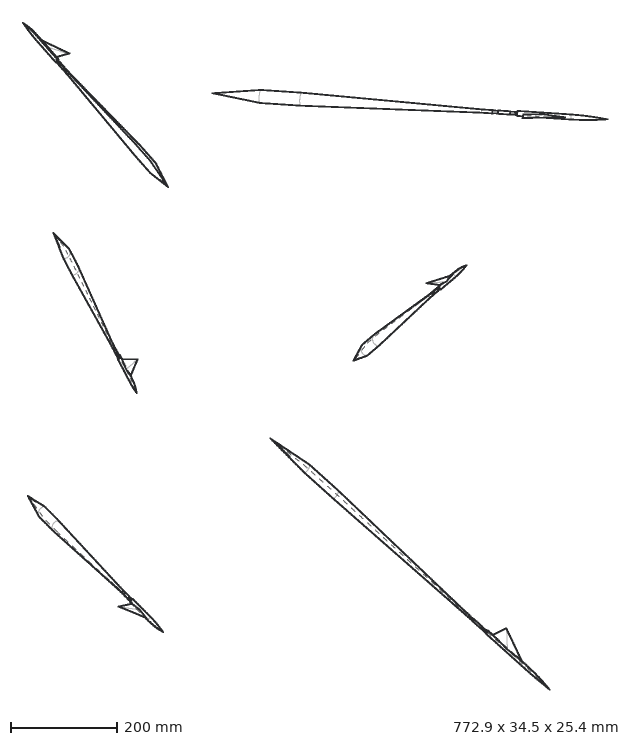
import cadquery as cq
import math


TAIL_OGIVE_END = 71.0
COLLAR_END = 176.0
GROOVES = [(179.5, 190.0), (213.5, 225.0)]
TAPER_START = 246.0
HEAD_START = 599.0
HEAD_END = 678.5
TOTAL_LENGTH = 772.86

COLLAR_RADIUS = 5.05
SHAFT_RADIUS = 3.4
GROOVE_RADIUS = 2.8
HEAD_RADIUS = 25.4 / 2

FIN_HEIGHT = 34.5
FIN_APEX_X = 157.0
FIN_LEADING_X = 68.5
FIN_CREST_X = 117.0
FIN_TRAILING_X = 164.5
FIN_HALF_THICKNESS = 2.9


def ogive_midpoint():
    """Halfway point of the tail arc, which runs from the tip into the collar tangentially."""
    arc_radius = (TAIL_OGIVE_END**2 + COLLAR_RADIUS**2) / (2 * COLLAR_RADIUS)
    half_sweep = math.asin(TAIL_OGIVE_END / arc_radius) / 2
    x = TAIL_OGIVE_END - arc_radius * math.sin(half_sweep)
    radius = COLLAR_RADIUS - arc_radius * (1 - math.cos(half_sweep))
    return x, radius


def make_body():
    """Half-turn the profile about X, towards +Y."""
    profile = (
        cq.Workplane("XZ")
        .moveTo(0, 0)
        .threePointArc(ogive_midpoint(), (TAIL_OGIVE_END, COLLAR_RADIUS))
        .lineTo(COLLAR_END, COLLAR_RADIUS)
        .lineTo(COLLAR_END, SHAFT_RADIUS)
    )
    for start, end in GROOVES:
        profile = (
            profile.lineTo(start, SHAFT_RADIUS)
            .lineTo(start, GROOVE_RADIUS)
            .lineTo(end, GROOVE_RADIUS)
            .lineTo(end, SHAFT_RADIUS)
        )
    profile = (
        profile.lineTo(TAPER_START, SHAFT_RADIUS)
        .lineTo(HEAD_START, HEAD_RADIUS)
        .lineTo(HEAD_END, HEAD_RADIUS)
        .lineTo(TOTAL_LENGTH, 0)
        .close()
    )
    return profile.revolve(180, (0, 0, 0), (-1, 0, 0))


def make_fin():
    """Four-sided pyramid with sharp leading and trailing edges and a crest on each side."""
    base = [
        cq.Vector(FIN_LEADING_X, 0, 0),
        cq.Vector(FIN_CREST_X, 0, FIN_HALF_THICKNESS),
        cq.Vector(FIN_TRAILING_X, 0, 0),
        cq.Vector(FIN_CREST_X, 0, -FIN_HALF_THICKNESS),
    ]
    apex = cq.Vector(FIN_APEX_X, FIN_HEIGHT, 0)
    faces = [cq.Face.makeFromWires(cq.Wire.makePolygon(base, close=True))]
    for start, end in zip(base, base[1:] + base[:1]):
        side = cq.Wire.makePolygon([start, end, apex], close=True)
        faces.append(cq.Face.makeFromWires(side))
    return cq.Workplane(cq.Solid.makeSolid(cq.Shell.makeShell(faces)))


result = make_body().union(make_fin())